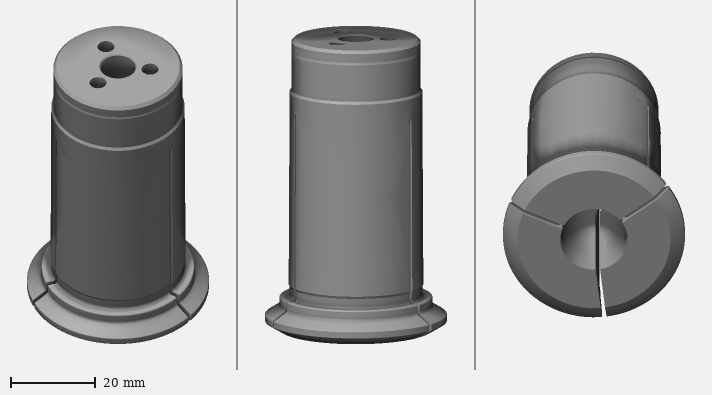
import cadquery as cq
import math

height = 70.0
flange_radius = 21.5

collar_radius = 18.05
base_radius = collar_radius
rim_bottom_z = 2.0
rim_top_z = 3.65
rim_round = 0.35
collar_bottom_z = 5.75
collar_top_z = 8.05
collar_round = 0.4
collar_foot_round = 0.55

neck_radius = 15.7
undercut_radius = 1.5 / 2
undercut_z = 8.7
neck_top_z = 10.4
body_bottom_radius = 15.95
body_bottom_z = 11.0
body_top_radius = 15.75
body_top_z = 57.2

head_radius = 15.25
head_bottom_z = 57.8
head_chamfer = 0.7
groove_bottom_z = 66.6
groove_height = 0.6
groove_depth = 0.2

bore_radius = 15.9 / 2
relief_radius = 21.0 / 2
relief_cone_z = 31.5
relief_cone_slope = 30
cap_bottom_z = head_bottom_z
cap_thickness = height - cap_bottom_z

screw_hole_radius = 8.3 / 2
screw_hole_chamfer = 0.3
coolant_hole_diameter = 4.0
coolant_circle_radius = 7.6
coolant_hole_angles = (30, 150, 270)

slit_width = 1.05
slit_top_z = 52.8
slit_end_slope = 45
slit_overrun = 0.7
slit_angles = (0, 120, 240)


def make_sleeve():
    """Revolve the outer outline around the Z axis."""
    undercut_center_radius = neck_radius + undercut_radius
    undercut_rise = undercut_z - collar_top_z
    undercut_edge_radius = undercut_center_radius + math.sqrt(undercut_radius**2 - undercut_rise**2)
    groove_radius = head_radius - groove_depth
    groove_top_z = groove_bottom_z + groove_height
    outline = (
        cq.Workplane("XZ")
        .lineTo(base_radius, 0)
        .lineTo(flange_radius, rim_bottom_z)
        .lineTo(flange_radius, rim_top_z)
        .lineTo(collar_radius, collar_bottom_z)
        .lineTo(collar_radius, collar_top_z)
        .lineTo(undercut_edge_radius, collar_top_z)
        .threePointArc(
            (undercut_center_radius, undercut_z - undercut_radius),
            (neck_radius, undercut_z),
        )
        .lineTo(neck_radius, neck_top_z)
        .lineTo(body_bottom_radius, body_bottom_z)
        .lineTo(body_top_radius, body_top_z)
        .lineTo(head_radius, head_bottom_z)
        .lineTo(head_radius, groove_bottom_z)
        .lineTo(groove_radius, groove_top_z)
        .lineTo(head_radius, groove_top_z)
        .lineTo(head_radius, height - head_chamfer)
        .lineTo(head_radius - head_chamfer, height)
        .lineTo(0, height)
        .close()
    )
    sleeve = outline.revolve(360, (0, 0, 0), (0, 1, 0))
    return round_flange_edges(sleeve)


def round_flange_edges(sleeve):
    """Round both rim edges, the cone-to-collar corner and the collar's top edge."""
    edge_rounds = (
        (flange_radius, rim_bottom_z, rim_round),
        (flange_radius, rim_top_z, rim_round),
        (collar_radius, collar_bottom_z, collar_foot_round),
        (collar_radius, collar_top_z, collar_round),
    )
    margin = 0.1
    for radius, z, edge_round in edge_rounds:
        reach = radius + margin
        level = cq.selectors.BoxSelector(
            (-reach, -reach, z - margin), (reach, reach, z + margin), boundingbox=True
        )
        outermost = cq.selectors.RadiusNthSelector(-1)
        sleeve = sleeve.edges(level).edges(outermost).fillet(edge_round)
    return sleeve


def make_bore():
    """Gripping bore that widens through a shallow cone into a relief under the cap."""
    cone_height = (relief_radius - bore_radius) * math.tan(math.radians(relief_cone_slope))
    relief_bottom_z = relief_cone_z + cone_height
    outline = (
        cq.Workplane("XZ")
        .lineTo(bore_radius, 0)
        .lineTo(bore_radius, relief_cone_z)
        .lineTo(relief_radius, relief_bottom_z)
        .lineTo(relief_radius, cap_bottom_z)
        .lineTo(0, cap_bottom_z)
        .close()
    )
    return outline.revolve(360, (0, 0, 0), (0, 1, 0))


def make_screw_hole():
    """Central hole through the cap with a chamfered mouth."""
    mouth_radius = screw_hole_radius + screw_hole_chamfer
    shaft = cq.Workplane("XY").workplane(offset=height).circle(screw_hole_radius).extrude(-cap_thickness)
    mouth = cq.Solid.makeCone(
        screw_hole_radius, mouth_radius, screw_hole_chamfer, pnt=(0, 0, height - screw_hole_chamfer)
    )
    return shaft.union(cq.Workplane(mouth))


def make_coolant_hole(angle):
    """One small vertical hole through the cap."""
    return (
        cq.Workplane("XY")
        .workplane(offset=height)
        .center(
            coolant_circle_radius * math.cos(math.radians(angle)),
            coolant_circle_radius * math.sin(math.radians(angle)),
        )
        .circle(coolant_hole_diameter / 2)
        .extrude(-cap_thickness)
    )


def make_slit(angle):
    """Radial slit into the bore; its half-round upper end rises outward along a slope."""
    slope = math.radians(slit_end_slope)
    half_width = slit_width / 2
    outer_x = flange_radius + slit_overrun
    axis_z_at_body = slit_top_z - half_width / math.cos(slope)
    axis_z_at_center = axis_z_at_body - body_top_radius * math.tan(slope)
    axis_z_outside = axis_z_at_center + outer_x * math.tan(slope)
    blade = (
        cq.Workplane("XZ")
        .lineTo(outer_x, 0)
        .lineTo(outer_x, axis_z_outside)
        .lineTo(0, axis_z_at_center)
        .close()
        .extrude(half_width, both=True)
    )
    round_end = cq.Solid.makeCylinder(
        half_width,
        outer_x / math.cos(slope),
        cq.Vector(0, 0, axis_z_at_center),
        cq.Vector(math.cos(slope), 0, math.sin(slope)),
    )
    return blade.union(cq.Workplane(round_end)).rotate((0, 0, 0), (0, 0, 1), angle)


result = make_sleeve().cut(make_bore()).cut(make_screw_hole())
for angle in coolant_hole_angles:
    result = result.cut(make_coolant_hole(angle))
for angle in slit_angles:
    result = result.cut(make_slit(angle))